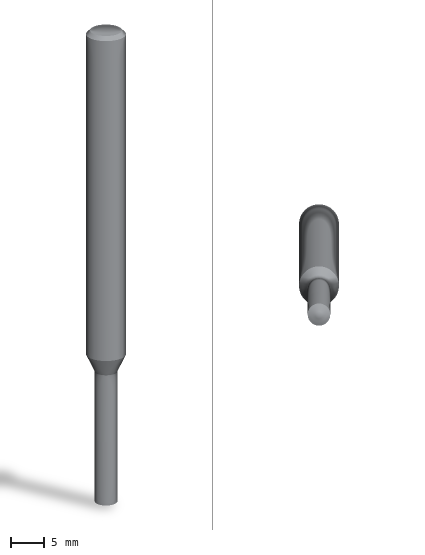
import cadquery as cq
import math


shank_diameter = 6.0
shank_chamfer = 0.6
drill_diameter = 3.4
point_angle = 140.0
overall_length = 76.62
cutting_cylinder_length = 3 * drill_diameter
shoulder_to_taper = 21.0
taper_length = 2.8

shank_radius = shank_diameter / 2
drill_radius = drill_diameter / 2
point_height = drill_radius / math.tan(math.radians(point_angle / 2))
cutting_top = point_height + cutting_cylinder_length
taper_bottom = point_height + shoulder_to_taper
taper_top = taper_bottom + taper_length
chamfer_bottom = overall_length - shank_chamfer


def turned_body(profile):
    """Revolve a closed (radius, height) outline about the Z axis."""
    axis_start = (0, 0, 0)
    axis_end = (0, 1, 0)
    return cq.Workplane("XZ").polyline(profile).close().revolve(360, axis_start, axis_end)


def make_cutting_head():
    """Cylindrical cutting head with a conical point."""
    return turned_body([
        (0, 0),
        (drill_radius, point_height),
        (drill_radius, cutting_top),
        (0, cutting_top),
    ])


def make_shank():
    """Slim neck, taper and chamfered clamping shank in one piece."""
    return turned_body([
        (0, cutting_top),
        (drill_radius, cutting_top),
        (drill_radius, taper_bottom),
        (shank_radius, taper_top),
        (shank_radius, chamfer_bottom),
        (shank_radius - shank_chamfer, overall_length),
        (0, overall_length),
    ])


cutting_head = make_cutting_head()
shank = make_shank()

result = cq.Compound.makeCompound([cutting_head.val(), shank.val()])